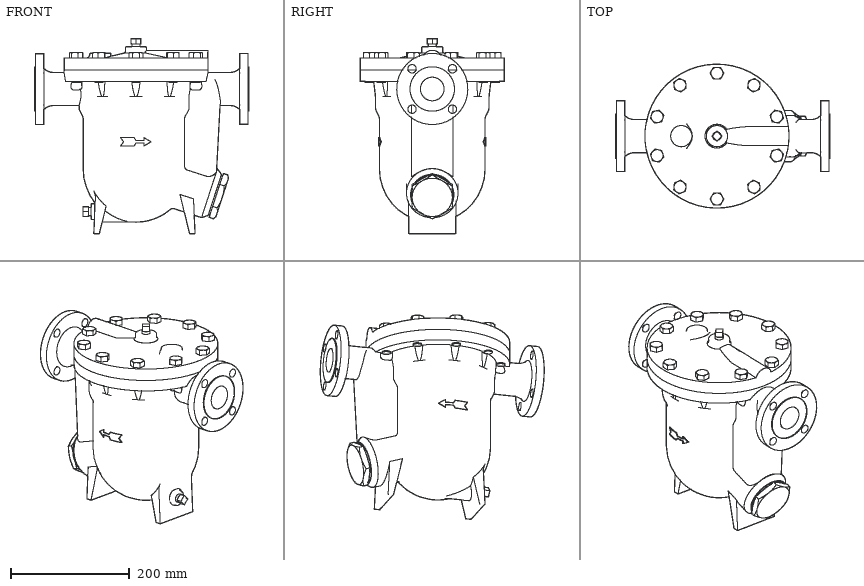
import cadquery as cq
import math


DOME_CENTRE_Z = 108.5
SHELL_TOP_Z = 196.2
BAND_BOTTOM_Z = 209.2
BAND_TOP_Z = 231.0
FLANGE_BOTTOM_Z = 257.0
JOINT_Z = 276.0
COVER_TOP_Z = 296.5

SHELL_R = 89.25
BAND_R = 96.0
NECK_TOP_R = 99.2
COVER_R = 243.0 / 2
BAND_ROUND = 8.7

BOLT_COUNT = 10
BOLT_CIRCLE_R = 106.0
BOLT_HEAD_ACROSS = 23.0
BOLT_HEAD_HEIGHT = 9.0
BOLT_END_R = 14.0 / 2
BOLT_END_HEIGHT = 1.8
BOLT_CLEARANCE_R = 10.0
PIPE_BOLT_ANGLE = 18.0
PIPE_POCKET_BOTTOM_Z = 242.0
PIPE_POCKET_ROUND = 5.5

CONE_R = 55.5
CONE_SLOPE = 0.23
VENT_BOSS_R = 36.0 / 2
VENT_BOSS_TOP_Z = 315.3
VENT_BOSS_BASE_Z = 304.8
RIB_R = 16.5
RIB_AXIS_Z = 292.5
BLIND_BOSS_X = -60.0
BLIND_BOSS_R = 36.0 / 2
BLIND_BOSS_HEIGHT = 8.0

INLET_FACE_X = -171.2
OUTLET_FACE_X = 190.8
PIPE_Z = 244.0
PIPE_R = 56.0 / 2
BORE_R = 40.0 / 2
BORE_DEPTH = 79.5
PIPE_FLANGE_R = 120.0 / 2
PIPE_FLANGE_HOLE_R = 14.0 / 2
PIPE_FLANGE_HOLE_OFFSET = 34.0
RAISED_FACE_R = 75.0 / 2
RAISED_FACE_HEIGHT = 1.8
PIPE_FLANGE_BACK = 16.0
HUB_LENGTH = 32.5
HUB_R = 31.5
HUB_ROOT_R = 34.8
HUB_ROOT_LENGTH = 4.5

CHANNEL_HALF_WIDTH = 35.0
CHANNEL_ARCH_Z = 235.3
CHANNEL_BOTTOM_Z = 87.0
CHANNEL_BOTTOM_X = 135.0
CHANNEL_TOP_X = 145.0
CHANNEL_ROUND = 17.5

PORT_TILT = 18.0
PORT_R = 43.5
PORT_SHOULDER = 130.5
PORT_END_R = 36.5
PORT_END = 139.7
PORT_ROOT_ROUND = 7.0
PORT_COLLAR_R = 35.0
PORT_COLLAR_LENGTH = 2.5
PORT_HEX_ACROSS = 78.2
PORT_HEX_LENGTH = 11.0

FOOT_HALF_WIDTH = 40.0
FOOT_TOP_Z = 68.8
FOOT_OUTER_X = -71.3
FOOT_THICKNESS = 9.8
FOOT_OUTER_LEAN = 0.05
FOOT_INNER_LEAN = 0.24
FEET_CENTRE_X = 14.3
FOOT_ROUND = 1.0
FOOT_ROOT_ROUND = 14.5

DRAIN_Z = 37.3
DRAIN_BARREL_R = 17.7
DRAIN_BOSS_R = 26.8 / 2
DRAIN_BOSS_END_X = -75.5
DRAIN_BOSS_BASE_X = -69.5
PLUG_SQUARE = 12.0
PLUG_SQUARE_HEIGHT = 9.0
PLUG_NECK_R = 14.0 / 2
PLUG_NECK_HEIGHT = 4.7

ARROW_Z = 155.0
ARROW_RAISE = 1.25
ARROW_TAIL_X = -26.0
ARROW_NOTCH_X = -20.5
ARROW_FLETCH_END_X = -3.0
ARROW_SHAFT_X = 0.0
ARROW_HEAD_X = 13.8
ARROW_TIP_X = 25.5
ARROW_HALF_HEIGHT = 7.0
ARROW_SHAFT_HALF = 2.0

HALF_SQRT = math.sqrt(0.5)


def raised_boss(radius, height, flare, edge_round, sink=3.5):
    """Round boss on Z = 0: flared out at its base, rounded at its top, sunk below Z = 0."""
    flare_mid = flare * (1 - HALF_SQRT)
    round_mid = edge_round * (1 - HALF_SQRT)
    return (
        cq.Workplane("XZ")
        .moveTo(0, -sink)
        .lineTo(radius + flare, -sink)
        .lineTo(radius + flare, 0)
        .threePointArc((radius + flare_mid, flare_mid), (radius, flare))
        .lineTo(radius, height - edge_round)
        .threePointArc((radius - round_mid, height - round_mid), (radius - edge_round, height))
        .lineTo(0, height)
        .close()
        .revolve()
    )


def hex_head(across_corners, height):
    """Hexagonal head on Z = 0 whose upper corners are chamfered to a circle at 30 degrees."""
    corner_r = across_corners / 2
    flat_r = corner_r * math.cos(math.pi / 6)
    chamfer_drop = (corner_r - flat_r) * math.tan(math.pi / 6)
    prism = cq.Workplane("XY").polygon(6, across_corners).extrude(height)
    envelope = (
        cq.Workplane("XZ")
        .polyline([
            (0, 0),
            (corner_r, 0),
            (corner_r, height - chamfer_drop),
            (flat_r, height),
            (0, height),
        ])
        .close()
        .revolve()
    )
    return prism.intersect(envelope)


def square_plug():
    """Plug on Z = 0: a round neck under a square head turned by 45 degrees."""
    neck = cq.Workplane("XY").circle(PLUG_NECK_R).extrude(PLUG_NECK_HEIGHT)
    head = (
        cq.Workplane("XY")
        .workplane(offset=PLUG_NECK_HEIGHT)
        .rect(PLUG_SQUARE, PLUG_SQUARE)
        .extrude(PLUG_SQUARE_HEIGHT)
        .rotate((0, 0, 0), (0, 0, 1), 45)
    )
    return neck.union(head)


def facing_inlet(shape):
    """Turn a shape that stands on Z = 0 so that it points along -X."""
    return shape.rotate((0, 0, 0), (0, 1, 0), -90)


def on_port_axis(shape, distance):
    """Place a shape that stands on Z = 0 at a distance along the tilted port axis."""
    return (
        shape.translate((0, 0, distance))
        .rotate((0, 0, 0), (0, 1, 0), 90 + PORT_TILT)
        .translate((0, 0, DOME_CENTRE_Z))
    )


def bolt_angles():
    return [90 + i * 360 / BOLT_COUNT for i in range(BOLT_COUNT)]


def at_bolt(shape, angle, z):
    """Place a shape at one bolt, turned so that its Y axis points away from the vessel axis."""
    return shape.translate((0, BOLT_CIRCLE_R, z)).rotate((0, 0, 0), (0, 0, 1), angle - 90)


def vessel_shell():
    """Round vessel with a hemispherical bottom, a thicker band, a tapered neck and a flange."""
    shell = (
        cq.Workplane("XZ")
        .moveTo(0, DOME_CENTRE_Z - SHELL_R)
        .threePointArc(
            (SHELL_R * HALF_SQRT, DOME_CENTRE_Z - SHELL_R * HALF_SQRT),
            (SHELL_R, DOME_CENTRE_Z),
        )
        .lineTo(SHELL_R, SHELL_TOP_Z)
        .lineTo(BAND_R, BAND_BOTTOM_Z)
        .lineTo(BAND_R, BAND_TOP_Z)
        .lineTo(NECK_TOP_R, FLANGE_BOTTOM_Z)
        .lineTo(COVER_R, FLANGE_BOTTOM_Z)
        .lineTo(COVER_R, JOINT_Z)
        .lineTo(0, JOINT_Z)
        .close()
        .revolve()
    )
    for z in (SHELL_TOP_Z, BAND_BOTTOM_Z):
        box = cq.selectors.BoxSelector(
            (-COVER_R, -COVER_R, z - 0.5), (COVER_R, COVER_R, z + 0.5), boundingbox=True
        )
        shell = shell.edges(box).fillet(BAND_ROUND)
    return shell


def valve_port():
    """Tilted barrel that tapers in to its mouth and flares out with a fillet where it meets the dome."""
    root_reach = SHELL_R + PORT_ROOT_ROUND
    root_r = PORT_R + PORT_ROOT_ROUND
    root_end = math.sqrt(root_reach**2 - root_r**2)
    on_dome = SHELL_R / root_reach
    bisector = (-1 - root_r / root_reach, -root_end / root_reach)
    to_mid = PORT_ROOT_ROUND / math.hypot(*bisector)
    root_mid = (root_r + to_mid * bisector[0], root_end + to_mid * bisector[1])
    barrel = (
        cq.Workplane("XZ")
        .lineTo(root_r * on_dome, root_end * on_dome)
        .threePointArc(root_mid, (PORT_R, root_end))
        .lineTo(PORT_R, PORT_SHOULDER)
        .lineTo(PORT_END_R, PORT_END)
        .lineTo(0, PORT_END)
        .close()
        .revolve()
    )
    return on_port_axis(barrel, 0)


def outlet_channel():
    """Upright channel from the valve port to the outlet pipe, arched on top, its outer end rounded."""
    side = (
        cq.Workplane("XZ")
        .polyline([
            (0, DOME_CENTRE_Z),
            (CHANNEL_BOTTOM_X, CHANNEL_BOTTOM_Z),
            (CHANNEL_TOP_X, JOINT_Z),
            (0, JOINT_Z),
        ])
        .close()
        .extrude(CHANNEL_HALF_WIDTH, both=True)
    )
    arch = (
        cq.Workplane("YZ")
        .moveTo(-CHANNEL_HALF_WIDTH, 0)
        .lineTo(CHANNEL_HALF_WIDTH, 0)
        .lineTo(CHANNEL_HALF_WIDTH, CHANNEL_ARCH_Z)
        .threePointArc(
            (0, CHANNEL_ARCH_Z + CHANNEL_HALF_WIDTH), (-CHANNEL_HALF_WIDTH, CHANNEL_ARCH_Z)
        )
        .close()
        .extrude(OUTLET_FACE_X)
    )
    channel = side.intersect(arch)
    outer_corners = cq.selectors.BoxSelector(
        (CHANNEL_BOTTOM_X - 3.5, -COVER_R, CHANNEL_BOTTOM_Z + 3.5), (OUTLET_FACE_X, COVER_R, JOINT_Z)
    )
    return channel.edges(outer_corners).fillet(CHANNEL_ROUND)


def flanged_pipe(length):
    """Pipe along +Z from a flange face at Z = 0 to the given length, with a flared hub."""
    hub_start = PIPE_FLANGE_BACK + HUB_ROOT_LENGTH
    hub_run = HUB_LENGTH - hub_start
    hub_rise = HUB_R - PIPE_R
    hub_arc_r = (hub_run**2 + hub_rise**2) / (2 * hub_rise)
    hub_mid_r = PIPE_R + hub_arc_r - math.sqrt(hub_arc_r**2 - (hub_run / 2) ** 2)
    pipe = (
        cq.Workplane("XZ")
        .lineTo(RAISED_FACE_R, 0)
        .lineTo(RAISED_FACE_R, RAISED_FACE_HEIGHT)
        .lineTo(PIPE_FLANGE_R, RAISED_FACE_HEIGHT)
        .lineTo(PIPE_FLANGE_R, PIPE_FLANGE_BACK)
        .lineTo(HUB_ROOT_R, PIPE_FLANGE_BACK)
        .lineTo(HUB_R, hub_start)
        .threePointArc((hub_mid_r, hub_start + hub_run / 2), (PIPE_R, HUB_LENGTH))
        .lineTo(PIPE_R, length)
        .lineTo(0, length)
        .close()
        .revolve()
    )
    bolt_holes = (
        cq.Workplane("XY")
        .rect(2 * PIPE_FLANGE_HOLE_OFFSET, 2 * PIPE_FLANGE_HOLE_OFFSET, forConstruction=True)
        .vertices()
        .circle(PIPE_FLANGE_HOLE_R)
        .extrude(PIPE_FLANGE_BACK)
    )
    return pipe.cut(bolt_holes)


def inlet_pipe(shape):
    """Place a shape that stands on Z = 0 with its base on the inlet flange face."""
    return shape.rotate((0, 0, 0), (0, 1, 0), 90).translate((INLET_FACE_X, 0, PIPE_Z))


def outlet_pipe(shape):
    """Place a shape that stands on Z = 0 with its base on the outlet flange face."""
    return shape.rotate((0, 0, 0), (0, 1, 0), -90).translate((OUTLET_FACE_X, 0, PIPE_Z))


def foot():
    """Foot under the drain side of the dome, tapering downwards, its lower end rounded."""
    outer_top_x = FOOT_OUTER_X + FOOT_OUTER_LEAN * FOOT_TOP_Z
    inner_x = FOOT_OUTER_X + FOOT_THICKNESS
    inner_top_x = inner_x + FOOT_INNER_LEAN * FOOT_TOP_Z
    return (
        cq.Workplane("XZ")
        .polyline([
            (FOOT_OUTER_X, 0),
            (inner_x, 0),
            (inner_top_x, FOOT_TOP_Z),
            (outer_top_x, FOOT_TOP_Z),
        ])
        .close()
        .extrude(FOOT_HALF_WIDTH, both=True)
        .faces("<Z")
        .edges()
        .fillet(FOOT_ROUND)
    )


def drain_barrel():
    """Horizontal round barrel that joins the drain foot to the bottom of the dome."""
    return (
        cq.Workplane("YZ")
        .workplane(offset=DRAIN_BOSS_BASE_X + 1.8)
        .center(0, DRAIN_Z)
        .circle(DRAIN_BARREL_R)
        .extrude(-DRAIN_BOSS_BASE_X)
    )


def flow_arrow():
    """Arrow along +X, raised on the front and on the back of the vessel."""
    upper = [
        (ARROW_TAIL_X, ARROW_HALF_HEIGHT),
        (ARROW_FLETCH_END_X, ARROW_HALF_HEIGHT),
        (ARROW_SHAFT_X, ARROW_SHAFT_HALF),
        (ARROW_HEAD_X, ARROW_SHAFT_HALF),
        (ARROW_HEAD_X, ARROW_HALF_HEIGHT),
    ]
    lower = [(x, -z) for x, z in reversed(upper)]
    outline = [(ARROW_NOTCH_X, 0), *upper, (ARROW_TIP_X, 0), *lower]
    prism = (
        cq.Workplane("XZ")
        .center(0, ARROW_Z)
        .polyline(outline)
        .close()
        .extrude(COVER_R, both=True)
    )
    envelope = (
        cq.Workplane("XY")
        .workplane(offset=DOME_CENTRE_Z)
        .circle(SHELL_R + ARROW_RAISE)
        .extrude(SHELL_TOP_Z - DOME_CENTRE_Z)
    )
    return prism.intersect(envelope)


def is_beside_pipe(angle):
    return math.isclose(abs(math.sin(math.radians(angle))), math.sin(math.radians(PIPE_BOLT_ANGLE)))


def bolt_pocket(angle):
    """Clearance under one bolt; beside a pipe it is shallower and has a rounded bottom."""
    if is_beside_pipe(angle):
        bottom = PIPE_POCKET_BOTTOM_Z
        bottom_round = PIPE_POCKET_ROUND
    else:
        bottom = BAND_TOP_Z
        bottom_round = 0
    pocket = cq.Workplane("XY").circle(BOLT_CLEARANCE_R).extrude(FLANGE_BOTTOM_Z - bottom)
    if bottom_round:
        pocket = pocket.faces("<Z").edges().fillet(bottom_round)
    return at_bolt(pocket, angle, bottom)


def bolt_end():
    return cq.Workplane("XY").circle(BOLT_END_R).extrude(BOLT_END_HEIGHT)


def vessel():
    vessel_foot = foot()
    body = vessel_shell().union(vessel_foot)
    body = round_foot_root(body)
    body = body.union(vessel_foot.mirror("YZ", (FEET_CENTRE_X, 0, 0)))
    body = body.union(outlet_channel()).union(valve_port()).union(drain_barrel())
    body = body.union(inlet_pipe(flanged_pipe(-INLET_FACE_X)))
    body = body.union(outlet_pipe(flanged_pipe(OUTLET_FACE_X)))
    boss = raised_boss(DRAIN_BOSS_R, DRAIN_BOSS_BASE_X - DRAIN_BOSS_END_X, 2.0, 1.5)
    body = body.union(facing_inlet(boss).translate((DRAIN_BOSS_BASE_X, 0, DRAIN_Z)))
    body = body.union(flow_arrow())
    for angle in bolt_angles():
        body = body.cut(bolt_pocket(angle))
        body = body.union(at_bolt(bolt_end(), angle, FLANGE_BOTTOM_Z - BOLT_END_HEIGHT))
    bore = cq.Workplane("XY").circle(BORE_R).extrude(BORE_DEPTH)
    return body.cut(inlet_pipe(bore)).cut(outlet_pipe(bore))


def round_foot_root(body):
    """Fillet the corner between the outer face of the drain foot and the dome."""
    root = cq.selectors.BoxSelector(
        (-72.5, -FOOT_HALF_WIDTH - 0.5, 43.5), (-65, FOOT_HALF_WIDTH + 0.5, FOOT_TOP_Z), boundingbox=True
    )
    return body.edges(root).fillet(FOOT_ROOT_ROUND)


def cover():
    """Bolted cover with its bolt heads, a shallow cone, a vent rib and two bosses."""
    plate = cq.Workplane("XY").workplane(offset=JOINT_Z).circle(COVER_R).extrude(COVER_TOP_Z - JOINT_Z)
    cone = (
        cq.Workplane("XZ")
        .polyline([
            (0, COVER_TOP_Z),
            (CONE_R, COVER_TOP_Z),
            (0, COVER_TOP_Z + CONE_SLOPE * CONE_R),
        ])
        .close()
        .revolve()
    )
    rib_limit = cq.Workplane("XY").workplane(offset=JOINT_Z).circle(COVER_R).extrude(RIB_AXIS_Z)
    rib = cq.Workplane("YZ").center(0, RIB_AXIS_Z).circle(RIB_R).extrude(COVER_R).intersect(rib_limit)
    vent_boss = raised_boss(VENT_BOSS_R, VENT_BOSS_TOP_Z - VENT_BOSS_BASE_Z, 2.0, 2.0)
    blind_boss = raised_boss(BLIND_BOSS_R, BLIND_BOSS_HEIGHT, 5.8, 1.8)
    top = plate.union(cone).union(rib)
    top = top.union(vent_boss.translate((0, 0, VENT_BOSS_BASE_Z)))
    top = top.union(blind_boss.translate((BLIND_BOSS_X, 0, COVER_TOP_Z)))
    for angle in bolt_angles():
        top = top.union(at_bolt(hex_head(BOLT_HEAD_ACROSS, BOLT_HEAD_HEIGHT), angle, COVER_TOP_Z))
    return top


def port_plug():
    """Hexagonal plug with a round collar that closes the valve port."""
    collar = cq.Workplane("XY").circle(PORT_COLLAR_R).extrude(PORT_COLLAR_LENGTH)
    head = hex_head(PORT_HEX_ACROSS, PORT_HEX_LENGTH).translate((0, 0, PORT_COLLAR_LENGTH))
    return on_port_axis(collar.union(head), PORT_END)


vent_plug = square_plug().translate((0, 0, VENT_BOSS_TOP_Z))
drain_plug = facing_inlet(square_plug()).translate((DRAIN_BOSS_END_X, 0, DRAIN_Z))

result = cq.Compound.makeCompound([
    vessel().val(),
    cover().val(),
    port_plug().val(),
    vent_plug.val(),
    drain_plug.val(),
])